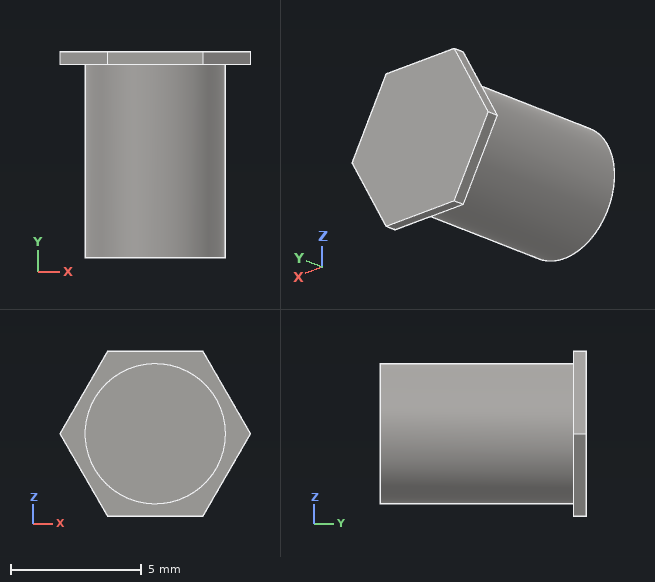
import cadquery as cq

total_length = 7.92
head_across_corners = 7.32
head_thickness = 0.5
barrel_diameter = 5.385

barrel_length = total_length - head_thickness


def make_barrel():
    """Solid round barrel along Y, from the free end at -Y to the head at Y = 0."""
    return cq.Workplane("XZ").circle(barrel_diameter / 2).extrude(barrel_length)


def make_head():
    """Hexagonal head plate on the +Y side, with two corners on the X axis."""
    return cq.Workplane("XZ").polygon(6, head_across_corners).extrude(-head_thickness)


result = make_barrel().union(make_head())